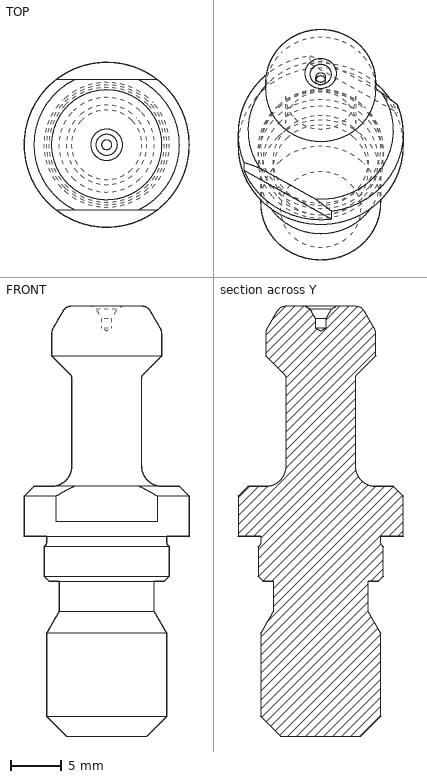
import cadquery as cq
import math


top_z = 23.0
knob_flat_radius = 7.0 / 2
knob_radius = 11.0 / 2
knob_edge_radius = 1.0
knob_cone_angle = math.radians(30)
knob_underside_z = 18.0
knob_underside_angle = math.radians(45)

shank_radius = 7.0 / 2
shank_top_blend = 0.5
shank_root_blend = 2.0

flange_radius = 16.5 / 2
flange_top_z = 5.0
flange_chamfer = 1.0
flats_width = 13.0
flats_bottom_z = 1.5

relief_radius = 12.0 / 2
collar_radius = 12.5 / 2
collar_top_z = -1.0
relief_blend = 0.5
collar_bottom_z = -4.5
collar_chamfer = 0.5

undercut_radius = 9.5 / 2
undercut_bottom_z = -7.5
undercut_cone_angle = math.radians(30)
thread_radius = 12.0 / 2
bottom_z = -20.0
thread_chamfer = 2.0

center_mouth_radius = 3.15 / 2
center_cone_radius = 2.12 / 2
center_pilot_radius = 1.0 / 2
center_mouth_half_angle = math.radians(60)
center_cone_half_angle = math.radians(30)
center_tip_half_angle = math.radians(60)
center_pilot_depth = 2.2


def arc_point(center, radius, angle):
    """Point on a circle in the (radius, Z) half plane."""
    return (center[0] + radius * math.cos(angle), center[1] + radius * math.sin(angle))


def add_arc(profile, center, radius, start, end):
    """Continue the profile along an arc whose start is the current point."""
    middle = arc_point(center, radius, (start + end) / 2)
    return profile.threePointArc(middle, arc_point(center, radius, end))


def add_knob(profile):
    """Rounded cone on top, cylindrical band and conical underside, down to the shank."""
    top_center = (knob_flat_radius, top_z - knob_edge_radius)
    profile = add_arc(profile, top_center, knob_edge_radius, math.pi / 2, knob_cone_angle)
    cone_start = arc_point(top_center, knob_edge_radius, knob_cone_angle)

    band_center_radius = knob_radius - knob_edge_radius
    cone_end_radius = band_center_radius + knob_edge_radius * math.cos(knob_cone_angle)
    cone_height = (cone_end_radius - cone_start[0]) / math.tan(knob_cone_angle)
    cone_end_z = cone_start[1] - cone_height
    band_top_z = cone_end_z - knob_edge_radius * math.sin(knob_cone_angle)
    profile = profile.lineTo(cone_end_radius, cone_end_z)
    profile = add_arc(profile, (band_center_radius, band_top_z), knob_edge_radius, knob_cone_angle, 0)
    profile = profile.lineTo(knob_radius, knob_underside_z)

    underside_height = (knob_radius - shank_radius) / math.tan(knob_underside_angle)
    blend_z = knob_underside_z - underside_height - shank_top_blend * math.tan(knob_underside_angle / 2)
    blend_center = (shank_radius + shank_top_blend, blend_z)
    blend_start = math.pi - knob_underside_angle
    profile = profile.lineTo(*arc_point(blend_center, shank_top_blend, blend_start))
    return add_arc(profile, blend_center, shank_top_blend, blend_start, math.pi)


def add_flange(profile):
    """Shank, its root blend and the chamfered flange, down to the seating face."""
    root_center = (shank_radius + shank_root_blend, flange_top_z + shank_root_blend)
    profile = profile.lineTo(shank_radius, root_center[1])
    profile = add_arc(profile, root_center, shank_root_blend, math.pi, math.pi * 3 / 2)
    return (
        profile.lineTo(flange_radius - flange_chamfer, flange_top_z)
        .lineTo(flange_radius, flange_top_z - flange_chamfer)
        .lineTo(flange_radius, 0)
    )


def add_collar(profile):
    """Relief groove with a curved runout, then the chamfered collar."""
    runout_angle = math.acos(1 - (collar_radius - relief_radius) / relief_blend)
    runout_z = collar_top_z + relief_blend * math.sin(runout_angle)
    runout_center = (relief_radius + relief_blend, runout_z)
    profile = profile.lineTo(relief_radius, 0).lineTo(relief_radius, runout_z)
    profile = add_arc(profile, runout_center, relief_blend, math.pi, math.pi + runout_angle)
    return (
        profile.lineTo(collar_radius, collar_bottom_z + collar_chamfer)
        .lineTo(collar_radius - collar_chamfer, collar_bottom_z)
    )


def add_thread_end(profile):
    """Undercut, conical shoulder and chamfered cylinder, ending on the axis."""
    cone_height = (thread_radius - undercut_radius) / math.tan(undercut_cone_angle)
    return (
        profile.lineTo(undercut_radius, collar_bottom_z)
        .lineTo(undercut_radius, undercut_bottom_z)
        .lineTo(thread_radius, undercut_bottom_z - cone_height)
        .lineTo(thread_radius, bottom_z + thread_chamfer)
        .lineTo(thread_radius - thread_chamfer, bottom_z)
        .lineTo(0, bottom_z)
    )


def revolve_about_z(profile):
    return profile.close().revolve(360, (0, 0, 0), (0, 1, 0))


def make_body():
    profile = cq.Workplane("XZ").moveTo(0, top_z).lineTo(knob_flat_radius, top_z)
    for add_section in (add_knob, add_flange, add_collar, add_thread_end):
        profile = add_section(profile)
    return revolve_about_z(profile)


def make_flat_cutters():
    """Blocks that leave two wrench flats on the -Y and +Y sides of the flange."""
    block_depth = flange_radius
    block_height = flange_top_z - flats_bottom_z
    center_y = flats_width / 2 + block_depth / 2
    return (
        cq.Workplane("XY", origin=(0, 0, flats_bottom_z))
        .pushPoints([(0, side * center_y) for side in (-1, 1)])
        .rect(2 * flange_radius, block_depth)
        .extrude(block_height)
    )


def make_center_hole():
    """Centre drilling: wide mouth cone, 60 degree cone, pilot bore and drill tip."""
    mouth_depth = (center_mouth_radius - center_cone_radius) / math.tan(center_mouth_half_angle)
    cone_depth = (center_cone_radius - center_pilot_radius) / math.tan(center_cone_half_angle)
    tip_depth = center_pilot_radius / math.tan(center_tip_half_angle)
    cone_top_z = top_z - mouth_depth
    pilot_bottom_z = top_z - center_pilot_depth
    profile = (
        cq.Workplane("XZ")
        .moveTo(0, top_z)
        .lineTo(center_mouth_radius, top_z)
        .lineTo(center_cone_radius, cone_top_z)
        .lineTo(center_pilot_radius, cone_top_z - cone_depth)
        .lineTo(center_pilot_radius, pilot_bottom_z)
        .lineTo(0, pilot_bottom_z - tip_depth)
    )
    return revolve_about_z(profile)


result = make_body().cut(make_flat_cutters()).cut(make_center_hole())